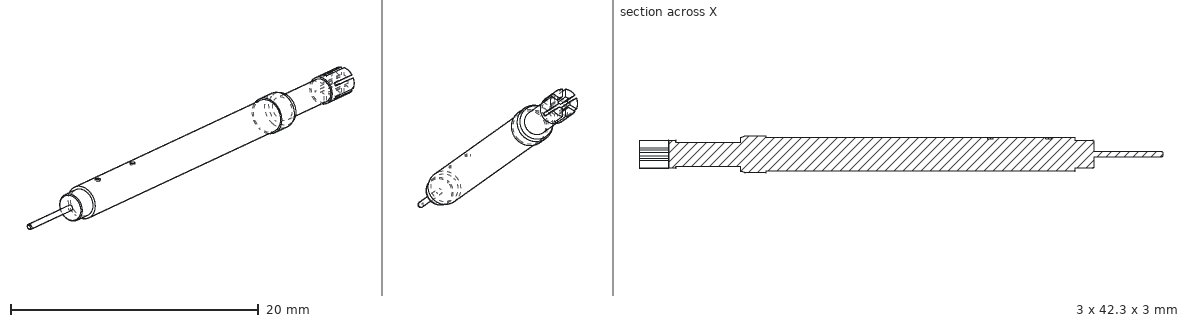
import cadquery as cq

TOTAL_LENGTH = 42.3
PIN_LENGTH = 5.6
BODY_START = 7.1
COLLAR_START = 32.05
COLLAR_END = 34.15
HEAD_START = 39.35

PIN_RADIUS = 0.45 / 2
SHOULDER_RADIUS = 2.3 / 2
BODY_RADIUS = 2.75 / 2
COLLAR_RADIUS = 3.0 / 2
NECK_RADIUS = 2.0 / 2
HEAD_RADIUS = 2.3 / 2
BORE_RADIUS = 1.0 / 2

PIN_CHAMFER = 0.1
SHOULDER_CHAMFER = 0.1
COLLAR_CHAMFER_LENGTH = 0.4
COLLAR_CHAMFER_HEIGHT = 0.13

SLOT_COUNT = 6
SLOT_WIDTH = 0.25
SLOT_LENGTH = 2.35

DIMPLE_RADIUS = 0.2
DIMPLE_DEPTH = 0.13
DIMPLE_STATIONS = (9.25, 13.95)


def turned_body():
    """Solid of the probe, a half section revolved about the Y axis."""
    outline = [
        (0, 0),
        (PIN_RADIUS - PIN_CHAMFER, 0),
        (PIN_RADIUS, PIN_CHAMFER),
        (PIN_RADIUS, PIN_LENGTH),
        (SHOULDER_RADIUS - SHOULDER_CHAMFER, PIN_LENGTH),
        (SHOULDER_RADIUS, PIN_LENGTH + SHOULDER_CHAMFER),
        (SHOULDER_RADIUS, BODY_START),
        (BODY_RADIUS, BODY_START),
        (BODY_RADIUS, COLLAR_START),
        (COLLAR_RADIUS, COLLAR_START),
        (COLLAR_RADIUS, COLLAR_END - COLLAR_CHAMFER_LENGTH),
        (COLLAR_RADIUS - COLLAR_CHAMFER_HEIGHT, COLLAR_END),
        (NECK_RADIUS, COLLAR_END),
        (NECK_RADIUS, HEAD_START),
        (HEAD_RADIUS, HEAD_START),
        (HEAD_RADIUS, TOTAL_LENGTH),
        (0, TOTAL_LENGTH),
    ]
    profile = cq.Workplane("XY").polyline(outline).close()
    return profile.revolve(360, (0, 0, 0), (0, 1, 0))


def head_bore():
    """Blind bore in the open end of the head, as deep as the slots."""
    mouth = cq.Workplane("XZ", origin=(0, TOTAL_LENGTH, 0))
    return mouth.circle(BORE_RADIUS).extrude(SLOT_LENGTH)


def head_slot(angle):
    """One slot through the head wall, turned about the axis from the top."""
    slot = cq.Workplane("XY").box(
        SLOT_WIDTH, SLOT_LENGTH, HEAD_RADIUS, centered=(True, False, False)
    )
    slot = slot.translate((0, TOTAL_LENGTH - SLOT_LENGTH, 0))
    return slot.rotate((0, 0, 0), (0, 1, 0), angle)


def dimple(station):
    """Shallow round recess sunk into the top of the body."""
    floor = cq.Workplane("XY", origin=(0, station, BODY_RADIUS - DIMPLE_DEPTH))
    return floor.circle(DIMPLE_RADIUS).extrude(2 * DIMPLE_DEPTH)


result = turned_body().cut(head_bore())

for index in range(SLOT_COUNT):
    result = result.cut(head_slot(index * 360 / SLOT_COUNT))

for station in DIMPLE_STATIONS:
    result = result.cut(dimple(station))